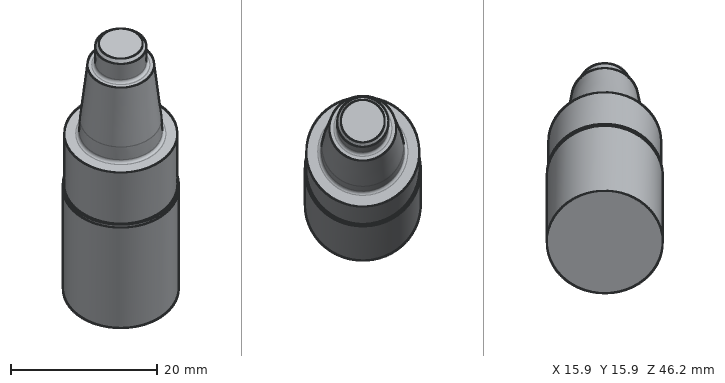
import cadquery as cq
import math

total_height = 46.2
sleeve_diameter = 15.9

sleeve_height = 19.0

collar_height = 0.55
shoulder_diameter = 15.5
shoulder_top = 29.2
neck_bend_top = 31.95
neck_bend_radius = 5.6
neck_top = 42.23
neck_top_radius = 4.57
tip_diameter = 7.0
tip_chamfer = 0.5
foot_fillet = 0.45

sleeve_radius = sleeve_diameter / 2
collar_top = sleeve_height + collar_height
shoulder_radius = shoulder_diameter / 2
tip_radius = tip_diameter / 2

neck_bend_bottom = shoulder_top + foot_fillet
taper_angle = math.atan2(neck_bend_radius - neck_top_radius, neck_top - neck_bend_top)
bend_rise = neck_bend_top - neck_bend_bottom
neck_foot_radius = neck_bend_radius + bend_rise * math.tan(taper_angle / 2)


def fillet_end(outline, radius, height):
    """Add a concave fillet rising from a flat face to a vertical wall of the given radius."""
    inset = foot_fillet * (1 - math.sqrt(0.5))
    return (
        outline.lineTo(radius + foot_fillet, height)
        .threePointArc((radius + inset, height + inset), (radius, height + foot_fillet))
    )


def make_sleeve():
    return cq.Workplane("XY").circle(sleeve_radius).extrude(sleeve_height)


def make_plug():
    outline = (
        cq.Workplane("XZ")
        .moveTo(0, sleeve_height)
        .lineTo(sleeve_radius, sleeve_height)
        .lineTo(sleeve_radius, collar_top)
        .lineTo(shoulder_radius, collar_top)
        .lineTo(shoulder_radius, shoulder_top)
    )
    outline = fillet_end(outline, neck_foot_radius, shoulder_top)
    outline = (
        outline.tangentArcPoint((neck_bend_radius, neck_bend_top), relative=False)
        .lineTo(neck_top_radius, neck_top)
    )
    outline = fillet_end(outline, tip_radius, neck_top)
    outline = (
        outline.lineTo(tip_radius, total_height - tip_chamfer)
        .lineTo(tip_radius - tip_chamfer, total_height)
        .lineTo(0, total_height)
        .close()
    )
    return outline.revolve(360, (0, 0, 0), (0, 1, 0))


sleeve = make_sleeve()
plug = make_plug()

result = cq.Compound.makeCompound([sleeve.val(), plug.val()])